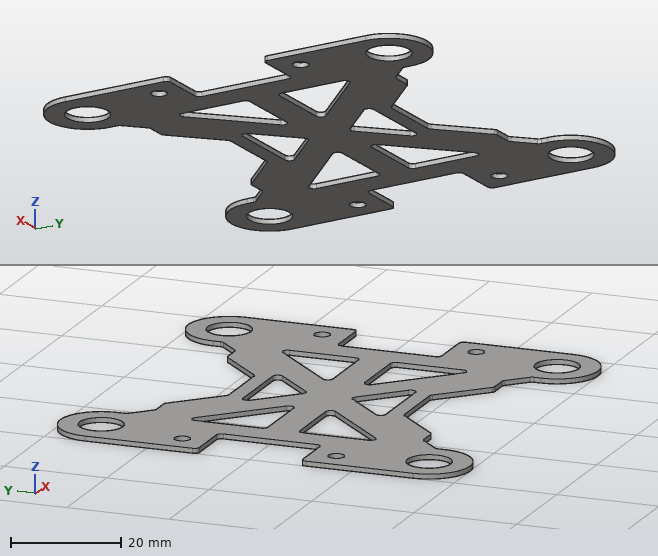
import cadquery as cq

side = 80.0
thickness = 1.0
half = side / 2
corner_radius = 1.0

ear_radius = 8.0
ear_center = half - ear_radius
ear_inner_x = ear_center - ear_radius
ear_hole_diameter = 8.4

mount_x = 35.0
mount_y = 15.0
mount_diameter = 3.0

notch_half_width = 10.1
notch_floor_x = 29.6

ear_slope_top_y = 30.2
shoulder_y = 26.1
shoulder_outer_x = ear_inner_x - (ear_slope_top_y - shoulder_y)
shoulder_inner_x = 15.6
waist_y = 17.1
waist_x = shoulder_inner_x - (shoulder_y - waist_y)

side_window_x = 23.6
side_window_y = 3.1
side_window_leg = 16.2
middle_window_tip_y = 4.2
middle_window_base_y = 13.9
middle_window_half_base = middle_window_base_y - middle_window_tip_y

QUADRANT_SIGNS = [(1, 1), (-1, 1), (-1, -1), (1, -1)]


def quarter_plate():
    """Quarter of the plate in +X +Y, with its two symmetry edges on the axes."""
    return (
        cq.Workplane("XY")
        .moveTo(0, 0)
        .lineTo(notch_floor_x, 0)
        .lineTo(notch_floor_x, notch_half_width)
        .lineTo(half, notch_half_width)
        .lineTo(half, ear_center)
        .threePointArc((ear_center, half), (ear_inner_x, ear_center))
        .lineTo(ear_inner_x, ear_slope_top_y)
        .lineTo(shoulder_outer_x, shoulder_y)
        .lineTo(shoulder_inner_x, shoulder_y)
        .lineTo(waist_x, waist_y)
        .lineTo(0, waist_y)
        .close()
        .extrude(thickness)
    )


def round_corners(body, corners):
    """Round the vertical edges at the given (x, y) corners."""
    for x, y in corners:
        edge = cq.selectors.NearestToPointSelector((x, y, thickness / 2))
        body = body.edges("|Z").edges(edge).fillet(corner_radius)
    return body


def window(corners):
    """Triangular cutter with rounded corners."""
    blank = cq.Workplane("XY").polyline(corners).close().extrude(thickness)
    return blank.edges("|Z").fillet(corner_radius)


def build_plate():
    """Solid plate, mirrored from its rounded quarter."""
    quarter = quarter_plate()
    corners = [
        (notch_floor_x, notch_half_width),
        (half, notch_half_width),
        (ear_inner_x, ear_slope_top_y),
        (shoulder_outer_x, shoulder_y),
        (shoulder_inner_x, shoulder_y),
        (waist_x, waist_y),
    ]
    quarter = round_corners(quarter, corners)
    half_plate = quarter.union(quarter.mirror("YZ"))
    return half_plate.union(half_plate.mirror("XZ")).clean()


def cut_holes(body):
    """Ear holes and mounting holes, four of each."""
    for center_x, center_y, diameter in [
        (ear_center, ear_center, ear_hole_diameter),
        (mount_x, mount_y, mount_diameter),
    ]:
        points = [(sign_x * center_x, sign_y * center_y) for sign_x, sign_y in QUADRANT_SIGNS]
        body = body.cut(cq.Workplane("XY").pushPoints(points).circle(diameter / 2).extrude(thickness))
    return body


def cut_windows(body):
    """Four side windows and two middle windows."""
    for sign_x, sign_y in QUADRANT_SIGNS:
        corners = [
            (sign_x * side_window_x, sign_y * side_window_y),
            (sign_x * (side_window_x - side_window_leg), sign_y * side_window_y),
            (sign_x * side_window_x, sign_y * (side_window_y + side_window_leg)),
        ]
        body = body.cut(window(corners))
    for sign_y in (1, -1):
        corners = [
            (0, sign_y * middle_window_tip_y),
            (middle_window_half_base, sign_y * middle_window_base_y),
            (-middle_window_half_base, sign_y * middle_window_base_y),
        ]
        body = body.cut(window(corners))
    return body


result = cut_windows(cut_holes(build_plate()))